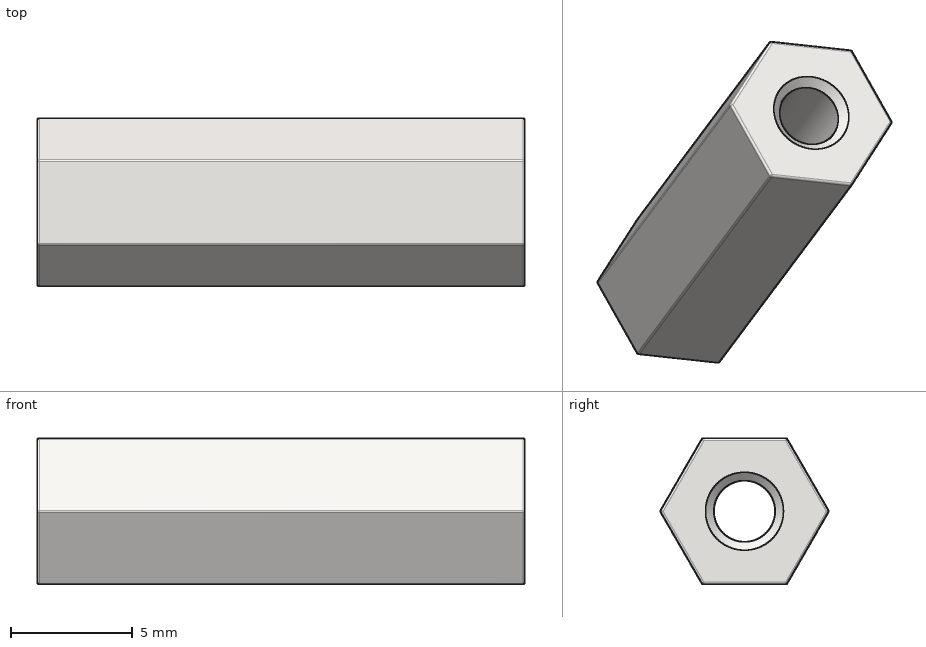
import cadquery as cq
import math

LENGTH = 20.0
ACROSS_FLATS = 6.0
BORE_DIAMETER = 2.5
COUNTERSINK_DIAMETER = 3.2
COUNTERSINK_DEPTH = (COUNTERSINK_DIAMETER - BORE_DIAMETER) / 2
EDGE_RADIUS = 0.1

ACROSS_CORNERS = ACROSS_FLATS / math.cos(math.pi / 6)


def hex_bar():
    """Hexagonal bar along X with flats facing +Z and -Z and every edge rounded."""
    bar = cq.Workplane("YZ").polygon(6, ACROSS_CORNERS).extrude(LENGTH)
    return bar.edges().fillet(EDGE_RADIUS).translate((-LENGTH / 2, 0, 0))


def countersunk_bore():
    """Through bore with a conical countersink at both ends, as a cutting tool."""
    bore_radius = BORE_DIAMETER / 2
    mouth_radius = COUNTERSINK_DIAMETER / 2
    half_length = LENGTH / 2
    cone_end = half_length - COUNTERSINK_DEPTH
    profile = (
        cq.Workplane("XY")
        .moveTo(-half_length, 0)
        .lineTo(-half_length, mouth_radius)
        .lineTo(-cone_end, bore_radius)
        .lineTo(cone_end, bore_radius)
        .lineTo(half_length, mouth_radius)
        .lineTo(half_length, 0)
        .close()
    )
    return profile.revolve(360, (0, 0, 0), (1, 0, 0))


result = hex_bar().cut(countersunk_bore())